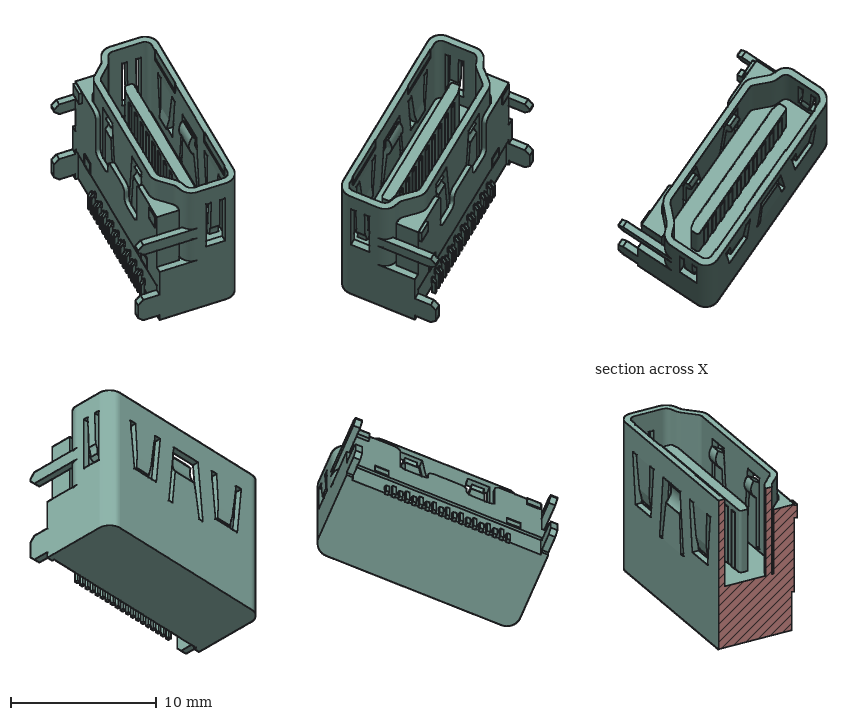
import cadquery as cq
import math


width = 15.0
half_width = width / 2
shell_height = 11.55
wall = 0.5
shell_depth = 5.52
corner_radius = 1.0
waist_radius = 0.6
side_depth = 3.88
waist_x = 6.35
waist_depth = 4.3
cavity_floor = 4.78
inner_half_width = half_width - wall

front_depth = 5.97
shoulder_angle = math.atan2(waist_depth - side_depth, half_width - waist_x)
bend_depth = side_depth - corner_radius * math.tan((math.pi / 2 - shoulder_angle) / 2)
housing_top = 9.75
housing_rear_depth = 4.29
housing_gap = 0.1
notch_half_width = 3.52
notch_bottom = 5.85
bar_half_width = 1.42
bar_top = 7.25
notch_radius = 0.5
leg_depth = 7.58
leg_chamfer = 0.39
upper_leg = (6.98, 7.95)
lower_leg = (0.48, 2.52)

tongue_half_width = 5.42
tongue_rear_depth = 2.35
tongue_front_depth = 3.16
tongue_top = 9.57
tongue_bevel_width = 0.65
tongue_bevel_depth = 0.16
tongue_radius = 0.18
contact_count = 19
contact_span = 9.0
contact_pitch = contact_span / (contact_count - 1)
contact_width = 0.48
contact_height = 0.05
contact_top = 9.15
tail_width = 0.24
tail_bottom = -0.45
tail_panel_depth = 5.78
tail_panel_top = 2.95
tail_rear_depth = 5.85
tail_front_depth = 6.1
tail_slope = 0.39
short_tail_top = 1.08
long_tail_top = 1.5

finger_lean = 0.09
taper = 0.1
finger_base = 4.95
front_window_top = 10.47
front_window_outer = 3.32
front_window_inner = 1.7
front_finger_outer = 2.94
front_finger_inner = 2.07
front_finger_kink = 8.75
rear_window_top = 9.75
middle_window_half = 1.2
middle_finger_half = 0.85
middle_finger_base_half = 1.32
middle_finger_upright = 8.7
middle_finger_kink = 7.88
rear_side_x = 4.0
rear_side_window_bottom = 5.85
rear_side_window_half = 1.47
rear_side_finger_half = 0.96
rear_side_finger_knee = 7.2
rear_side_finger_end = 6.3
rear_side_end_lean = 0.25
side_window_depth = 1.78
side_window_half = 0.7
side_window = (5.85, 10.04)
side_finger_half = 0.33
side_finger_kink = 7.45
front_curl = (((0.24, 0.36), (0.27, 0.75)), ((0.05, 1.0), (0.7, 1.4)), (0.93, 0.75))
middle_curl = (((0.44, 0.93), (0.38, 1.36)), ((0.63, 1.7),), (0.9, 1.0))
side_curl = (((0.27, 0.42), (0.24, 0.75)), ((0.6, 1.02),), (0.78, 0.57))

pad_size = 1.02
upper_pad_x = 6.39
upper_pad_z = 9.15
left_pad_height = 0.22
right_pad_height = 0.09
lower_pad_x = 4.89
lower_pad_z = 3.57
lower_pad_height = 0.06
recess_inner_x = 2.5
recess_outer_x = 6.0
recess_height = 0.93
recess_slope = 0.12
recess_cut = 0.05


def box(x_range, depth_range, z_range):
    """Box between the given limits in X, depth and Z."""
    x0, x1 = x_range
    d0, d1 = depth_range
    z0, z1 = z_range
    return cq.Workplane("XY").box(x1 - x0, d1 - d0, z1 - z0, centered=False).translate((x0, -d1, z0))


def mirrored(shape):
    """The shape together with its mirror image across the YZ plane."""
    return shape.union(shape.mirror("YZ"))


def shell_prism(z0, z1, offset=0.0):
    """Prism on the outer outline of the shell, grown outwards by offset (inwards if negative)."""
    front_x = waist_x - (shell_depth - waist_depth)
    right = [(half_width, 0), (half_width, -side_depth), (waist_x, -waist_depth), (front_x, -shell_depth)]
    left = [(-x, y) for x, y in reversed(right)]
    waists = [(x, -waist_depth) for x in (-waist_x, waist_x)]
    corners = [point for point in right + left if point not in waists]
    face = cq.Face.makeFromWires(cq.Workplane("XY").polyline(right + left).close().val())

    def vertices_at(points):
        return [v for v in face.Vertices() if any(math.dist((v.X, v.Y), p) < wall for p in points)]

    face = face.fillet2D(waist_radius, vertices_at(waists))
    face = face.fillet2D(corner_radius, vertices_at(corners))
    outline = cq.Workplane("XY").add(face.outerWire()).toPending()
    if offset:
        outline = outline.offset2D(offset)
    return outline.extrude(z1 - z0).translate((0, 0, z0))


def wall_prism(points):
    """Prism through a wall: outline in X and Z, starting on the outer face and running inwards (+Y)."""
    return cq.Workplane("XZ").polyline(points).close().extrude(-2 * wall)


def finger(profile, plan):
    """Finger with the given (inward, Z) side profile, trimmed to the given (X, Z) outline."""
    return profile.extrude(half_width, both=True).intersect(wall_prism(plan))


def on_rear_wall(shape, x=0.0):
    """Turn an inward (+Y) shape to face forwards from the rear wall, centred on x."""
    return shape.rotate((0, 0, 0), (0, 0, 1), 180).translate((x, 0, 0))


def on_front_wall(shape):
    """Move an inward (+Y) shape to the front wall."""
    return shape.translate((0, -shell_depth, 0))


def on_left_wall(shape):
    """Turn an inward (+Y) shape to face +X from the left wall, at the depth of the side windows."""
    return shape.rotate((0, 0, 0), (0, 0, 1), -90).translate((-half_width, -side_window_depth, 0))


def trapezoid(half_top, top, bottom, slope):
    """Symmetric (X, Z) outline whose half width grows by slope per unit of height downwards."""
    half_bottom = half_top + slope * (top - bottom)
    return [(-half_bottom, bottom), (-half_top, top), (half_top, top), (half_bottom, bottom)]


def curled_profile(root, kink, lean, curl):
    """(inward, Z) profile of a finger leaning inwards from its root to a kink, then curled at its end.

    The curl holds the outer arc, the corners of the end and the middle of the inner arc,
    each as (inward, distance past the kink).
    """
    outer_arc, end_corners, inner_middle = curl
    away = math.copysign(1, kink - root)

    def place(point):
        inward, distance = point
        return inward, kink + away * distance

    profile = cq.Workplane("YZ").moveTo(0, root).lineTo(lean, kink)
    profile = profile.threePointArc(*[place(point) for point in outer_arc])
    for corner in end_corners:
        profile = profile.lineTo(*place(corner))
    return profile.threePointArc(place(inner_middle), (wall + lean, kink)).lineTo(wall, root).close()


def leaning_profile():
    """Finger hanging from the top of the rear side window and leaning into the cavity."""
    outer = [(0, rear_window_top), (finger_lean, rear_side_finger_knee), (rear_side_end_lean, rear_side_finger_end)]
    inner = [(inward + wall, z) for inward, z in reversed(outer)]
    return cq.Workplane("YZ").polyline(outer + inner).close()


def slanted_plan(outer_x, inner_x, top):
    """(X, Z) outline left of the middle: upright outer edge, inner edge slanting inwards downwards."""
    inner_base = inner_x - taper * (top - finger_base)
    return [(-outer_x, finger_base), (-outer_x, top), (-inner_x, top), (-inner_base, finger_base)]


def curl_length(curl):
    """Distance from the kink of a finger to the far corner of its curled end."""
    return curl[1][-1][1]


def add_front_fingers(body):
    """Two windows in the front wall, each with a finger rising from its bottom."""
    window = wall_prism(slanted_plan(front_window_outer, front_window_inner, front_window_top))
    tip = front_finger_kink + curl_length(front_curl)
    plan = slanted_plan(front_finger_outer, front_finger_inner, tip)
    spring = finger(curled_profile(finger_base, front_finger_kink, 0, front_curl), plan)
    return body.cut(mirrored(on_front_wall(window))).union(mirrored(on_front_wall(spring)))


def add_middle_finger(body):
    """Window in the middle of the rear wall with a finger rising from its bottom."""
    window = wall_prism(trapezoid(middle_window_half, rear_window_top, finger_base, taper))
    tip = middle_finger_kink + curl_length(middle_curl)
    right = [
        (middle_finger_half, tip),
        (middle_finger_half, middle_finger_upright),
        (middle_finger_base_half, finger_base),
    ]
    left = [(-x, z) for x, z in reversed(right)]
    spring = finger(curled_profile(finger_base, middle_finger_kink, finger_lean, middle_curl), right + left)
    return body.cut(on_rear_wall(window)).union(on_rear_wall(spring))


def add_rear_side_fingers(body):
    """Two outer windows in the rear wall, each with a finger hanging from its top."""
    window = wall_prism(trapezoid(rear_side_window_half, rear_window_top, rear_side_window_bottom, -taper))
    plan = trapezoid(rear_side_finger_half, rear_window_top, rear_side_finger_end, -taper)
    spring = finger(leaning_profile(), plan)
    body = body.cut(mirrored(on_rear_wall(window, rear_side_x)))
    return body.union(mirrored(on_rear_wall(spring, rear_side_x)))


def add_side_fingers(body):
    """A window in each side wall with a finger hanging from its top."""
    bottom, top = side_window
    window = wall_prism(trapezoid(side_window_half, top, bottom, 0))
    plan = trapezoid(side_finger_half, top, bottom, 0)
    spring = finger(curled_profile(top, side_finger_kink, finger_lean, side_curl), plan)
    return body.cut(mirrored(on_left_wall(window))).union(mirrored(on_left_wall(spring)))


def shell():
    """Tube with a closed lower part, windows and spring fingers."""
    body = shell_prism(0, shell_height).cut(shell_prism(cavity_floor, shell_height, -wall))
    body = body.cut(mouth_recesses())
    body = add_front_fingers(body)
    body = add_middle_finger(body)
    body = add_rear_side_fingers(body)
    return add_side_fingers(body)


def mouth_recesses():
    """Shallow recesses with a sloped lower edge at the mouth, inside the rear wall."""
    ledge = shell_height - recess_height
    section = [
        (-wall, ledge),
        (recess_cut - wall, ledge + recess_slope),
        (recess_cut - wall, shell_height),
        (-wall, shell_height),
    ]
    recess = cq.Workplane("YZ", origin=(recess_inner_x, 0, 0)).polyline(section).close()
    return mirrored(recess.extrude(recess_outer_x - recess_inner_x))


def housing():
    """Block standing in front of the shell, with a stepped notch that bares the front fingers."""
    block = box((-inner_half_width, inner_half_width), (housing_rear_depth, front_depth), (0, housing_top))
    block = block.cut(shell_prism(cavity_floor, shell_height, housing_gap))
    stepped = [
        (-notch_half_width, notch_bottom),
        (-notch_half_width, housing_top),
        (notch_half_width, housing_top),
        (notch_half_width, notch_bottom),
        (bar_half_width, notch_bottom),
        (bar_half_width, bar_top),
        (-bar_half_width, bar_top),
        (-bar_half_width, notch_bottom),
    ]
    block = block.cut(cq.Workplane("XZ").polyline(stepped).close().extrude(front_depth))
    margin = 0.15
    rounded = cq.selectors.BoxSelector(
        (-notch_half_width - margin, -front_depth, notch_bottom - margin),
        (notch_half_width + margin, -shell_depth, housing_top + margin),
    )
    return block.edges("|Y").edges(rounded).fillet(notch_radius)


def base():
    """Lower part where the side walls run straight to the front."""
    return box((-half_width, half_width), (bend_depth, front_depth), (0, cavity_floor))


def legs():
    """Two chamfered legs on the left side and their mirror images."""
    pair = cq.Workplane("XY")
    for z_range in (upper_leg, lower_leg):
        leg = box((-half_width, -inner_half_width), (bend_depth, leg_depth), z_range)
        pair = pair.add(leg.faces("<Y").edges("|X").chamfer(leg_chamfer))
    return mirrored(pair.combine())


def tongue():
    """Contact carrier rising from the cavity floor, its front corners bevelled."""
    bevel_x = tongue_half_width - tongue_bevel_width
    bevel_start = tongue_front_depth - tongue_bevel_depth
    right = [
        (tongue_half_width, -tongue_rear_depth),
        (tongue_half_width, -bevel_start),
        (bevel_x, -tongue_front_depth),
    ]
    left = [(-x, y) for x, y in reversed(right)]
    carrier = cq.Workplane("XY").polyline(right + left).close().extrude(tongue_top)
    return carrier.edges("|Z and (<X or >X)").fillet(tongue_radius)


def tail_panel():
    """Shallow recess between the side walls, low on the front face, that the tails come out of."""
    return box((-inner_half_width, inner_half_width), (tail_panel_depth, front_depth), (0, tail_panel_top))


def tail(x, top):
    """Solder tail coming out of the recessed panel and bending down along it."""
    bend = top - tail_slope
    section = [
        (-tail_rear_depth, tail_bottom),
        (-tail_rear_depth, bend),
        (-tail_panel_depth, bend),
        (-tail_panel_depth, top),
        (-tail_rear_depth, top),
        (-tail_front_depth, bend),
        (-tail_front_depth, tail_bottom),
    ]
    return cq.Workplane("YZ", origin=(x, 0, 0)).polyline(section).close().extrude(tail_width / 2, both=True)


def contacts():
    """Contacts alternating between the rear and front of the tongue, each with its solder tail."""
    parts = cq.Workplane("XY")
    for index in range(contact_count):
        x = index * contact_pitch - contact_span / 2
        on_rear = index % 2 == 0
        surface = tongue_rear_depth if on_rear else tongue_front_depth
        depths = (surface - contact_height, surface + contact_height)
        x_range = (x - contact_width / 2, x + contact_width / 2)
        parts = parts.add(box(x_range, depths, (0, contact_top)))
        parts = parts.add(tail(x, short_tail_top if on_rear else long_tail_top))
    return parts.combine()


def pads():
    """Square pads raised on the front face."""
    places = (
        (-upper_pad_x, upper_pad_z, left_pad_height),
        (upper_pad_x, upper_pad_z, right_pad_height),
        (-lower_pad_x, lower_pad_z, lower_pad_height),
        (lower_pad_x, lower_pad_z, lower_pad_height),
    )
    half = pad_size / 2
    parts = cq.Workplane("XY")
    for x, z, height in places:
        depths = (front_depth, front_depth + height)
        parts = parts.add(box((x - half, x + half), depths, (z - half, z + half)))
    return parts.combine()


result = (
    shell()
    .union(base())
    .union(housing())
    .union(legs())
    .union(tongue())
    .cut(tail_panel())
    .union(contacts())
    .union(pads())
)